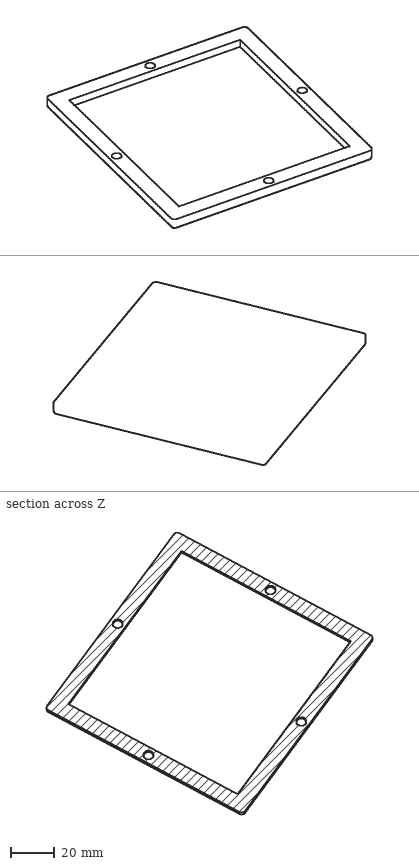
import cadquery as cq

LENGTH_X = 114.25
LENGTH_Y = 108.31
HEIGHT = 6.0
EDGE_RADIUS = 2.0

RIM_WIDTH = 8.0
POCKET_DEPTH = 4.0

HOLE_DIAMETER = 4.5
HOLE_DEPTH = 4.0
HOLE_INSET = RIM_WIDTH / 2


def make_plate():
    """Plate standing on Z = 0 with rounded corners and a rounded bottom edge."""
    plate = cq.Workplane("XY").box(LENGTH_X, LENGTH_Y, HEIGHT, centered=(True, True, False))
    plate = plate.edges("|Z").fillet(EDGE_RADIUS)
    return plate.faces("<Z").edges().fillet(EDGE_RADIUS)


def make_pocket():
    """Sharp-cornered block removed from the top, leaving an even rim."""
    return (
        cq.Workplane("XY")
        .workplane(offset=HEIGHT - POCKET_DEPTH)
        .rect(LENGTH_X - 2 * RIM_WIDTH, LENGTH_Y - 2 * RIM_WIDTH)
        .extrude(POCKET_DEPTH)
    )


def make_holes():
    """Four cylinders removed from the top of the rim."""
    x = LENGTH_X / 2 - HOLE_INSET
    y = LENGTH_Y / 2 - HOLE_INSET
    return (
        cq.Workplane("XY")
        .workplane(offset=HEIGHT - HOLE_DEPTH)
        .pushPoints([(x, 0), (-x, 0), (0, y), (0, -y)])
        .circle(HOLE_DIAMETER / 2)
        .extrude(HOLE_DEPTH)
    )


result = make_plate().cut(make_pocket()).cut(make_holes())